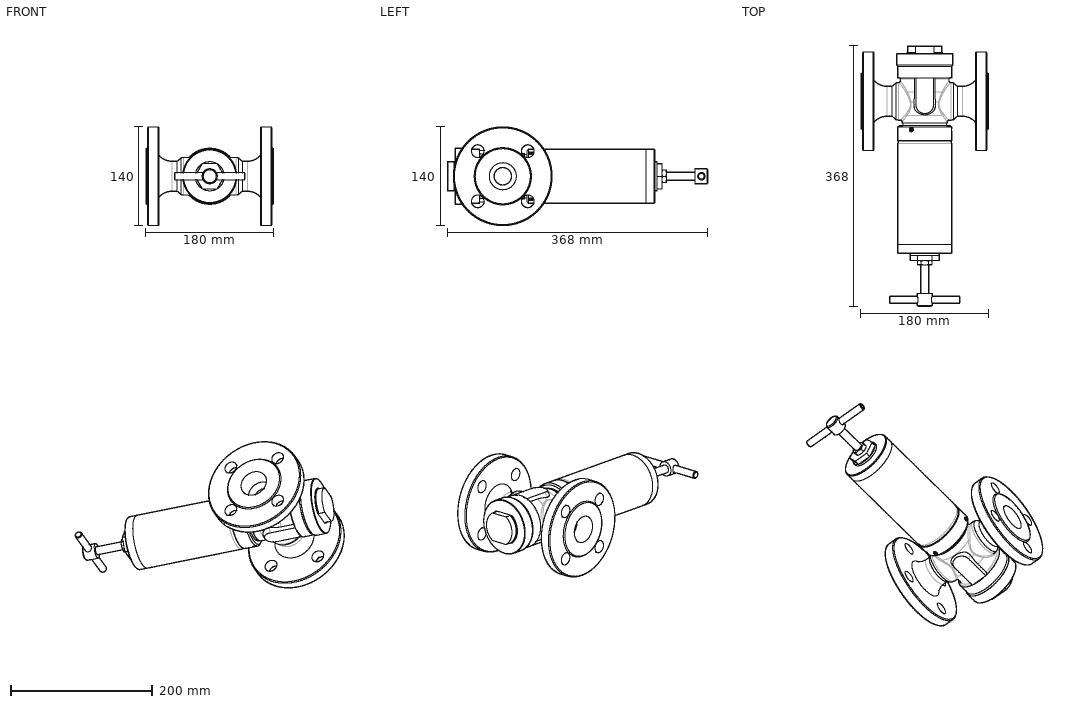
import cadquery as cq
import math


half_face_to_face = 89.98
raised_face_height = 2.0
raised_face_radius = 39.0
raised_face_base_radius = 40.5
flange_radius = 70.0
flange_thickness = 16.5
flange_edge_chamfer = 1.5
bolt_circle_radius = 50.0
bolt_hole_radius = 9.0
bolt_hole_count = 4
neck_radius = 21.5
neck_outer_end = 53.5
neck_inner_end = 46.0
neck_blend_radius = 24.3
shoulder_radius = 26.0
shoulder_x = 40.5
branch_radius = 27.0
branch_x = 37.0
bore_mouth_radius = 19.0
bore_radius = 12.0
bore_cone_start = 60.7
bore_cone_end = neck_outer_end

flange_face_x = half_face_to_face - raised_face_height
flange_back_x = flange_face_x - flange_thickness

barrel_top = 51.5
head_ring_taper_end = 49.0
head_ring_bottom = 33.0
barrel_step_radius = 39.5
barrel_radius = 38.3
trunk_radius = 34.5
trunk_fillet = 2.0
trunk_taper_start = 13.2
trunk_taper_middle = -0.7
trunk_taper_end = -20.0
lower_neck_radius = 32.0
lower_neck_bottom = -31.0
groove_radius = 31.0
branch_fillet = 2.2

pad_height = 36.5
pad_half_width = 12.5
pad_bottom = -17.3
pad_depth = 7.5
pad_draft = 22

cap_ring_radius = 39.7
cap_ring_top = 67.7
cap_edge_chamfer = 0.7
cap_collar_radius = 25.5
cap_collar_height = 1.5
cap_boss_radius = 24.3
cap_top = 78.0
cap_flats_half_width = 20.5
cap_boss_bottom = cap_ring_top + cap_collar_height

collar_top = -34.2
collar_top_chamfer = 2.2
collar_bottom = -56.3
collar_bottom_chamfer = 0.7
collar_hole_count = 3
collar_hole_y = -40.0
collar_hole_radius = 3.0
collar_hole_depth = 1.0
collar_hole_tip_radius = 1.5
collar_hole_tip_depth = 2.0
tube_bottom = -202.8
tube_top_chamfer = 1.0
tube_top_chamfer_length = 3.5
cover_bottom = -215.3
cover_chamfer = 1.0

plug_washer_radius = 20.5
plug_washer_thickness = 3.0
plug_across_flats = 36.0
plug_bottom = -225.2
nut_across_flats = 18.0
nut_bottom = -231.5
nut_chamfer = 1.0
spindle_radius = 6.0
spindle_head_radius = 10.5
spindle_head_top = -271.5
spindle_head_chamfer = 1.5
spindle_end = cap_top - 368
handle_radius = 5.0
handle_length = 100.0
handle_chamfer = 1.0
handle_y = -280.8


def cylinder_y(radius, y_low, y_high):
    """Solid cylinder on the stem axis between two Y positions."""
    return cq.Workplane("XZ", origin=(0, y_high, 0)).circle(radius).extrude(y_high - y_low)


def cylinder_x(radius, half_length):
    """Solid cylinder on the pipe axis, centred on the origin."""
    return cq.Workplane("YZ").circle(radius).extrude(half_length, both=True)


def hexagon_y(across_flats, y_low, y_high):
    """Hexagonal prism on the stem axis with two flats facing up and down."""
    corner_diameter = across_flats / math.cos(math.pi / 6)
    return cq.Workplane("XZ", origin=(0, y_high, 0)).polygon(6, corner_diameter).extrude(y_high - y_low)


def half_turn(shape):
    """The shape turned by 180 degrees about the stem axis."""
    return shape.rotate((0, 0, 0), (0, 1, 0), 180)


def make_pipe_half():
    """Flange, necked hub and branch on the +X side."""
    blend_run = flange_back_x - neck_outer_end

    def blend_height(run):
        return neck_radius + neck_blend_radius - math.sqrt(neck_blend_radius**2 - run**2)

    return (
        cq.Workplane("XY")
        .moveTo(0, 0)
        .lineTo(half_face_to_face, 0)
        .lineTo(half_face_to_face, raised_face_radius)
        .lineTo(flange_face_x, raised_face_base_radius)
        .lineTo(flange_face_x, flange_radius - flange_edge_chamfer)
        .lineTo(flange_face_x - flange_edge_chamfer, flange_radius)
        .lineTo(flange_back_x + flange_edge_chamfer, flange_radius)
        .lineTo(flange_back_x, flange_radius - flange_edge_chamfer)
        .lineTo(flange_back_x, blend_height(blend_run))
        .threePointArc(
            (neck_outer_end + blend_run / 2, blend_height(blend_run / 2)),
            (neck_outer_end, neck_radius),
        )
        .lineTo(neck_inner_end, neck_radius)
        .lineTo(shoulder_x, shoulder_radius)
        .lineTo(branch_x, branch_radius)
        .lineTo(0, branch_radius)
        .close()
        .revolve(360, (0, 0, 0), (1, 0, 0))
    )


def make_barrel():
    """Upright barrel of the valve body, turned about the stem axis.

    The trunk narrows to the lower neck along two arcs that are tangent to each other.
    """
    upper_share = (trunk_taper_start - trunk_taper_middle) / (trunk_taper_start - trunk_taper_end)
    taper_middle_radius = trunk_radius - upper_share * (trunk_radius - lower_neck_radius)
    return (
        cq.Workplane("XY")
        .moveTo(0, barrel_top)
        .lineTo(barrel_step_radius, barrel_top)
        .lineTo(barrel_radius, head_ring_taper_end)
        .lineTo(barrel_radius, head_ring_bottom)
        .lineTo(trunk_radius + trunk_fillet, head_ring_bottom)
        .radiusArc((trunk_radius, head_ring_bottom - trunk_fillet), -trunk_fillet)
        .lineTo(trunk_radius, trunk_taper_start)
        .tangentArcPoint((taper_middle_radius, trunk_taper_middle), relative=False)
        .tangentArcPoint((lower_neck_radius, trunk_taper_end), relative=False)
        .lineTo(lower_neck_radius, lower_neck_bottom)
        .lineTo(groove_radius, lower_neck_bottom)
        .lineTo(groove_radius, collar_top)
        .lineTo(0, collar_top)
        .close()
        .revolve(360, (0, 0, 0), (0, 1, 0))
    )


def make_pad():
    """Drafted flat pad with a round lower end, on the +Z side of the barrel."""
    arc_start = pad_bottom + pad_half_width
    pad_upper_end = (head_ring_bottom + barrel_top) / 2
    pad = (
        cq.Workplane("XY", origin=(0, 0, pad_height))
        .moveTo(-pad_half_width, pad_upper_end)
        .lineTo(-pad_half_width, arc_start)
        .threePointArc((0, pad_bottom), (pad_half_width, arc_start))
        .lineTo(pad_half_width, pad_upper_end)
        .close()
        .extrude(-pad_depth, taper=-pad_draft)
    )
    below_head_ring = cylinder_y(flange_radius, pad_bottom - pad_depth, head_ring_bottom)
    return pad.intersect(below_head_ring)


def make_bolt_holes():
    """Bolt hole cutters that pass through the +X flange."""
    first_angle = 180 / bolt_hole_count
    return (
        cq.Workplane("YZ", origin=(flange_back_x, 0, 0))
        .polarArray(bolt_circle_radius, first_angle, 360, bolt_hole_count)
        .circle(bolt_hole_radius)
        .extrude(flange_thickness)
    )


def make_bore():
    """Bore cutter with a wide mouth, a short cone and a narrow core, from the +X face to the stem axis."""
    return (
        cq.Workplane("XY")
        .moveTo(0, 0)
        .lineTo(half_face_to_face, 0)
        .lineTo(half_face_to_face, bore_mouth_radius)
        .lineTo(bore_cone_start, bore_mouth_radius)
        .lineTo(bore_cone_end, bore_radius)
        .lineTo(0, bore_radius)
        .close()
        .revolve(360, (0, 0, 0), (1, 0, 0))
    )


def seam_region():
    """Selector for the +X side curves where the branch runs into the barrel trunk."""
    return cq.selectors.BoxSelector(
        (trunk_radius / 3, -branch_radius, -trunk_radius),
        (trunk_radius, branch_radius, trunk_radius),
    )


def make_half_space():
    """Block that covers everything on the +X side of the stem axis."""
    width = 4 * flange_radius
    return cq.Workplane("XY").box(width, width, width, centered=(False, True, True))


def make_body():
    """Valve body: two flanged pipe halves, the barrel, two pads and the through bore."""
    half = make_barrel().union(make_pipe_half())
    half = half.edges(seam_region()).fillet(branch_fillet)
    half = half.cut(make_bolt_holes()).intersect(make_half_space()).cut(make_bore())
    body = half.union(half_turn(half))
    pad = make_pad()
    return body.union(pad).union(half_turn(pad))


def make_cap():
    """Cap ring with a round boss that carries two wrench flats."""
    ring = cylinder_y(cap_ring_radius, barrel_top, cap_ring_top).faces(">Y").chamfer(cap_edge_chamfer)
    collar = cylinder_y(cap_collar_radius, cap_ring_top, cap_boss_bottom)
    boss = cylinder_y(cap_boss_radius, cap_boss_bottom, cap_top)
    flats = cq.Workplane("XY").box(2 * cap_collar_radius, 2 * cap_top, 2 * cap_flats_half_width)
    return ring.union(collar.union(boss).intersect(flats))


def make_collar_hole(angle):
    """Stepped radial hole cutter, at an angle about the stem axis from +X."""
    floor = cq.Workplane("YZ", origin=(barrel_radius - collar_hole_depth, collar_hole_y, 0))
    wide = floor.circle(collar_hole_radius).extrude(2 * collar_hole_depth)
    tip = floor.circle(collar_hole_tip_radius).extrude(-collar_hole_tip_depth)
    return wide.union(tip).rotate((0, 0, 0), (0, 1, 0), angle)


def make_collar():
    """Collar at the top of the spring housing with evenly spaced radial holes."""
    collar = cylinder_y(barrel_radius, collar_bottom, collar_top)
    collar = collar.faces(">Y").chamfer(collar_top_chamfer)
    collar = collar.faces("<Y").chamfer(collar_bottom_chamfer)
    for index in range(collar_hole_count):
        collar = collar.cut(make_collar_hole(index * 360 / collar_hole_count))
    return collar


def make_tube():
    """Long spring housing tube below the collar."""
    tube = cylinder_y(barrel_radius, tube_bottom, collar_bottom)
    return tube.faces(">Y").edges().chamfer(tube_top_chamfer_length, tube_top_chamfer)


def make_cover():
    """End cover that closes the spring housing tube."""
    return cylinder_y(barrel_radius, cover_bottom, tube_bottom).faces("<Y").chamfer(cover_chamfer)


def make_plug():
    """Hexagonal plug on a round washer face, drilled for the spindle."""
    washer_bottom = cover_bottom - plug_washer_thickness
    washer = cylinder_y(plug_washer_radius, washer_bottom, cover_bottom)
    plug = washer.union(hexagon_y(plug_across_flats, plug_bottom, washer_bottom))
    return plug.cut(cylinder_y(spindle_radius, plug_bottom, cover_bottom))


def make_nut():
    """Lock nut with its corners chamfered at both ends."""
    corner_radius = nut_across_flats / 2 / math.cos(math.pi / 6)
    turned_blank = cylinder_y(corner_radius, nut_bottom, plug_bottom).faces("<Y or >Y").chamfer(nut_chamfer)
    nut = hexagon_y(nut_across_flats, nut_bottom, plug_bottom).intersect(turned_blank)
    return nut.cut(cylinder_y(spindle_radius, nut_bottom, plug_bottom))


def make_handle():
    """Round cross bar with chamfered ends."""
    handle = cylinder_x(handle_radius, handle_length / 2).faces("<X or >X").chamfer(handle_chamfer)
    return handle.translate((0, handle_y, 0))


def make_spindle():
    """Adjusting spindle with a round head that is cross-drilled for the handle."""
    shank = cylinder_y(spindle_radius, spindle_head_top, cover_bottom)
    head = cylinder_y(spindle_head_radius, spindle_end, spindle_head_top)
    head = head.faces("<Y").chamfer(spindle_head_chamfer)
    cross_hole = cylinder_x(handle_radius, 2 * spindle_head_radius).translate((0, handle_y, 0))
    return shank.union(head).cut(cross_hole)


body = make_body()
cap = make_cap()
collar = make_collar()
tube = make_tube()
cover = make_cover()
plug = make_plug()
nut = make_nut()
spindle = make_spindle()
handle = make_handle()

result = cq.Compound.makeCompound(
    [
        body.val(),
        cap.val(),
        collar.val(),
        tube.val(),
        cover.val(),
        plug.val(),
        nut.val(),
        spindle.val(),
        handle.val(),
    ]
)